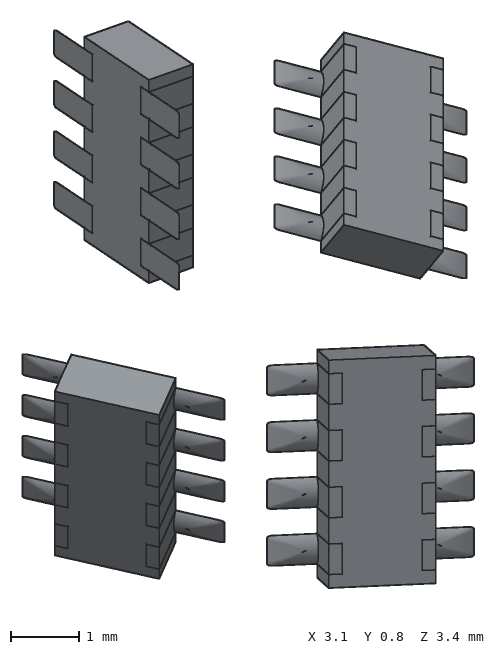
import cadquery as cq
import math

housing_width = 1.6
housing_depth = 0.8
housing_height = 3.4

leads_per_side = 4
lead_pitch = 0.845
lead_width = 0.455
lead_span = 3.1
wall_thickness = 0.2

foot_height = 0.1
tip_length = 0.56
ridge_radius = 0.08

housing_half = housing_width / 2
foot_end = lead_span / 2
foot_length = foot_end - housing_half
lead_heights = [(i - (leads_per_side - 1) / 2) * lead_pitch for i in range(leads_per_side)]


def make_wall():
    """Block of the lead that sits flush in the right side of the housing, over its full depth."""
    return (
        cq.Workplane("XY", origin=(housing_half - wall_thickness, 0, 0))
        .box(wall_thickness, housing_depth, lead_width, centered=(False, False, True))
    )


def make_foot():
    """Domed foot that runs outward from the right side of the housing."""
    dome = (
        cq.Workplane("YZ", origin=(housing_half, 0, 0))
        .moveTo(0, -lead_width / 2)
        .threePointArc((foot_height, 0), (0, lead_width / 2))
        .close()
        .extrude(foot_length)
    )

    tip_radius = (tip_length**2 + foot_height**2) / (2 * foot_height)
    tip_start = foot_end - tip_length
    arc_mid_run = tip_length / 2
    arc_mid_drop = tip_radius - math.sqrt(tip_radius**2 - arc_mid_run**2)
    side_profile = (
        cq.Workplane("XY")
        .moveTo(housing_half, 0)
        .lineTo(foot_end, 0)
        .threePointArc((tip_start + arc_mid_run, foot_height - arc_mid_drop), (tip_start, foot_height))
        .lineTo(housing_half, foot_height)
        .close()
        .extrude(lead_width, both=True)
    )
    foot = dome.intersect(side_profile)

    return foot.edges("%BSPLINE").fillet(ridge_radius)


def make_leads():
    """All leads: a row on the right side and its mirror image on the left."""
    right_lead = make_wall().union(make_foot())
    left_lead = right_lead.mirror("YZ")
    return [
        lead.translate((0, 0, height)).val()
        for lead in (left_lead, right_lead)
        for height in lead_heights
    ]


def make_housing():
    """Plain block with a full-depth notch for the wall of each lead."""
    housing = cq.Workplane("XY").box(
        housing_width, housing_depth, housing_height, centered=(True, False, True)
    )
    right_notch = make_wall()
    for notch in (right_notch, right_notch.mirror("YZ")):
        for height in lead_heights:
            housing = housing.cut(notch.translate((0, 0, height)))
    return housing


leads = make_leads()
housing = make_housing()
result = cq.Compound.makeCompound([housing.val(), *leads])